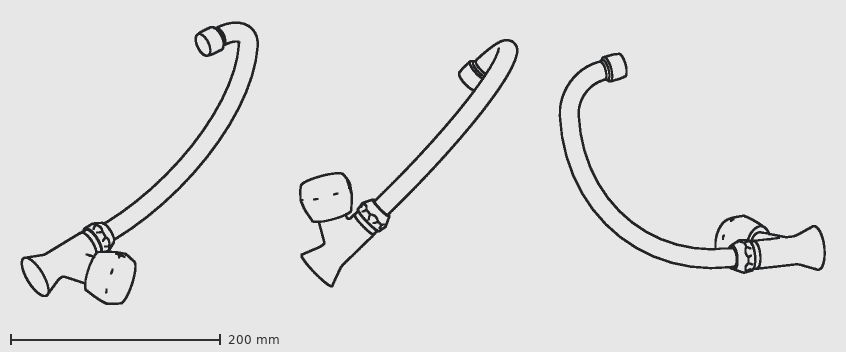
import cadquery as cq
import math

FOOT_RADIUS = 21.0
FLARE_END = 19.8
FLARE_BLEND = 10.0
EDGE_MARGIN = 1.0
BODY_RADIUS = 13.5
BODY_END = 63.6
COLLAR_RADIUS = 13.2

NUT_START = 69.4
NUT_BASE_RADIUS = 14.7
NUT_RIDGE_Y = 77.0
NUT_RIDGE_RADIUS = 15.8
NUT_END = 86.4
NUT_END_RADIUS = 11.4
NUT_FLATS = 6
NUT_APOTHEM = 14.9

TUBE_RADIUS = 9.1
SPOUT_START = 89.9
LARGE_BEND = 167.0
LARGE_ANGLE = 87.0
SMALL_BEND = 39.0
OUTLET_RISE = 9.0

NOZZLE_NECK_RADIUS = 8.8
NOZZLE_NECK_START = 1.7
NOZZLE_NECK_END = 4.4
NOZZLE_NECK_END_RADIUS = 9.9
NOZZLE_SHOULDER = 6.4
NOZZLE_RADIUS = 12.1
NOZZLE_TAPER_START = 16.8
NOZZLE_END = 22.0
NOZZLE_END_RADIUS = 11.3

BRANCH_Y = 31.6
BRANCH_ANGLE = 30.0
BRANCH_BLEND = 2.0

KNOB_START = 32.4
KNOB_START_RADIUS = 19.3
KNOB_BARREL_MID = 45.0
KNOB_BARREL_MID_RADIUS = 23.4
KNOB_RIDGE = 56.5
KNOB_RIDGE_RADIUS = 26.0
KNOB_END = 68.0
KNOB_CROWN = 70.0
KNOB_END_RADIUS = 21.0
KNOB_END_FILLET = 0.8
SCALLOPS = 8
SCALLOP_RADIUS = 30.0
SCALLOP_FLOOR = 23.35
SCALLOP_TILT = 2.5
SCALLOP_EDGE_FILLET = 3.0


def body():
    """Flared foot, straight body and the slightly smaller collar under the nut."""
    profile = (
        cq.Workplane("XY")
        .lineTo(FOOT_RADIUS, 0)
        .lineTo(BODY_RADIUS, FLARE_END)
        .lineTo(BODY_RADIUS, BODY_END)
        .lineTo(COLLAR_RADIUS, BODY_END)
        .lineTo(COLLAR_RADIUS, NUT_START)
        .lineTo(0, NUT_START)
        .close()
    )
    turned = profile.revolve(360, (0, 0, 0), (0, 1, 0))
    flare_top = cq.selectors.BoxSelector(
        (-FOOT_RADIUS, FLARE_END - EDGE_MARGIN, -FOOT_RADIUS),
        (FOOT_RADIUS, FLARE_END + EDGE_MARGIN, FOOT_RADIUS),
    )
    return turned.edges(flare_top).edges("%CIRCLE").fillet(FLARE_BLEND)


def nut():
    """Double cone trimmed by a hexagon that leaves a flat at each side of the ridge."""
    profile = (
        cq.Workplane("XY")
        .moveTo(0, NUT_START)
        .lineTo(NUT_BASE_RADIUS, NUT_START)
        .lineTo(NUT_RIDGE_RADIUS, NUT_RIDGE_Y)
        .lineTo(NUT_END_RADIUS, NUT_END)
        .lineTo(0, NUT_END)
        .close()
    )
    turned = profile.revolve(360, (0, 0, 0), (0, 1, 0))
    half_pitch = math.pi / NUT_FLATS
    hexagon = (
        cq.Workplane("XZ", origin=(0, NUT_START, 0))
        .transformed(rotate=(0, 0, 90 - 180 / NUT_FLATS))
        .polygon(NUT_FLATS, 2 * NUT_APOTHEM / math.cos(half_pitch))
        .extrude(NUT_START - NUT_END)
    )
    return turned.intersect(hexagon)


def on_circle(center, radius, angle):
    """Point at an angle in degrees; a negative radius gives the opposite point."""
    turn = math.radians(angle)
    return (center[0] + radius * math.cos(turn), center[1] + radius * math.sin(turn))


def spout():
    """Round tube along two tangent arcs, closed by the nozzle."""
    large_center = (SPOUT_START, LARGE_BEND)
    large_stop = LARGE_ANGLE - 90
    joint = on_circle(large_center, LARGE_BEND, large_stop)
    small_center = on_circle(joint, -SMALL_BEND, large_stop)
    outlet_angle = 90 - OUTLET_RISE
    path = (
        cq.Workplane("YZ")
        .moveTo(NUT_START, 0)
        .lineTo(SPOUT_START, 0)
        .threePointArc(on_circle(large_center, LARGE_BEND, LARGE_ANGLE / 2 - 90), joint)
        .threePointArc(
            on_circle(small_center, SMALL_BEND, (large_stop + outlet_angle) / 2),
            on_circle(small_center, SMALL_BEND, outlet_angle),
        )
    )
    tube = cq.Workplane("XZ", origin=(0, NUT_START, 0)).circle(TUBE_RADIUS).sweep(path)
    outlet = on_circle(small_center, SMALL_BEND, outlet_angle)
    nozzle_shape = (
        nozzle()
        .rotate((0, 0, 0), (1, 0, 0), -OUTLET_RISE)
        .translate((0, outlet[0], outlet[1]))
    )
    return tube.union(nozzle_shape)


def nozzle():
    """Nozzle turned about the Y axis, pointing along -Y from the origin."""
    profile = (
        cq.Workplane("XY")
        .lineTo(TUBE_RADIUS, 0)
        .lineTo(NOZZLE_NECK_RADIUS, -NOZZLE_NECK_START)
        .lineTo(NOZZLE_NECK_END_RADIUS, -NOZZLE_NECK_END)
        .lineTo(NOZZLE_RADIUS, -NOZZLE_SHOULDER)
        .lineTo(NOZZLE_RADIUS, -NOZZLE_TAPER_START)
        .lineTo(NOZZLE_END_RADIUS, -NOZZLE_END)
        .lineTo(0, -NOZZLE_END)
        .close()
    )
    return profile.revolve(360, (0, 0, 0), (0, 1, 0))


def place_on_branch(shape):
    """Move a shape turned about the X axis onto the branch axis."""
    return shape.rotate((0, 0, 0), (0, 0, 1), BRANCH_ANGLE).translate((0, BRANCH_Y, 0))


def branch():
    """Valve stem housing from the body axis to the knob."""
    return place_on_branch(cq.Workplane("YZ").circle(BODY_RADIUS).extrude(KNOB_START))


def knob():
    """Barrel-shaped knob with a crowned end and scallops all round its ridge."""
    crown_rise = KNOB_CROWN - KNOB_END
    crown_radius = (KNOB_END_RADIUS**2 + crown_rise**2) / (2 * crown_rise)
    crown_center = (KNOB_CROWN - crown_radius, 0)
    crown_half_angle = math.degrees(math.asin(KNOB_END_RADIUS / crown_radius))
    crown_middle = on_circle(crown_center, crown_radius, crown_half_angle / 2)
    profile = (
        cq.Workplane("XY")
        .moveTo(KNOB_START, 0)
        .lineTo(KNOB_START, KNOB_START_RADIUS)
        .threePointArc(
            (KNOB_BARREL_MID, KNOB_BARREL_MID_RADIUS), (KNOB_RIDGE, KNOB_RIDGE_RADIUS)
        )
        .lineTo(KNOB_END, KNOB_END_RADIUS)
        .threePointArc(crown_middle, (KNOB_CROWN, 0))
        .close()
    )
    shape = profile.revolve(360, (0, 0, 0), (1, 0, 0))
    shape = shape.faces(">X").edges().fillet(KNOB_END_FILLET)
    for i in range(SCALLOPS):
        cutter = (
            cq.Workplane("YZ", origin=(KNOB_START, 0, 0))
            .center(0, SCALLOP_FLOOR + SCALLOP_RADIUS)
            .circle(SCALLOP_RADIUS)
            .extrude(KNOB_CROWN - KNOB_START)
            .rotate((KNOB_RIDGE, 0, SCALLOP_FLOOR), (KNOB_RIDGE, 1, SCALLOP_FLOOR), SCALLOP_TILT)
            .rotate((0, 0, 0), (1, 0, 0), i * 360 / SCALLOPS)
        )
        shape = shape.cut(cutter)
    shape = shape.faces("%CYLINDER").edges().fillet(SCALLOP_EDGE_FILLET)
    return place_on_branch(shape)


def body_with_branch():
    """Body and branch joined, with the two bent seams between them blended."""
    joined = body().union(branch())
    return joined.edges("%ELLIPSE").fillet(BRANCH_BLEND)


result = body_with_branch().union(nut()).union(spout()).union(knob())